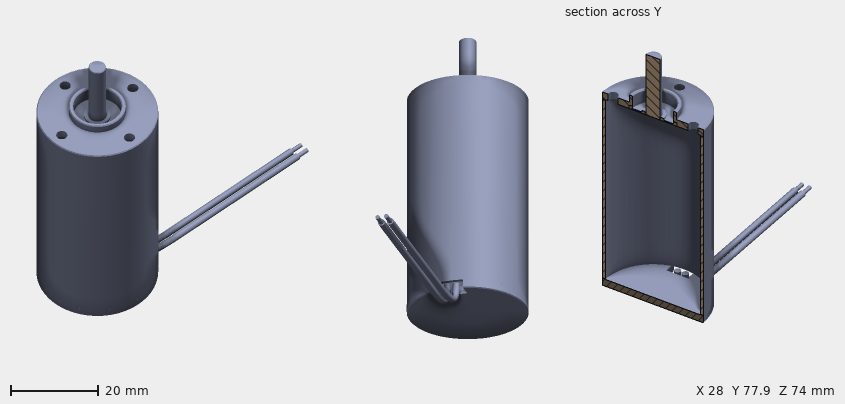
import cadquery as cq


overall_length_y = 77.9

casing_radius = 28.0 / 2
casing_length = 54.0
wall_thickness = 1.0
edge_chamfer = 0.2

cap_thickness = 2.0
slot_width = 6.55
slot_floor_y = 10.4

flange_thickness = 1.95
boss_radius = 6.55
boss_height = 2.0
boss_chamfer = 0.2
screw_hole_diameter = 2.6
screw_circle_radius = 11.0
screw_hole_count = 4

shaft_radius = 4.0 / 2
shaft_projection = 15.0
shaft_chamfer = 0.15

bearing_radius = 6.5
bearing_depth = 3.0
outer_race_bore_radius = 5.5
inner_race_radius = 3.0
race_groove_depth = 0.5
bearing_bore_chamfer = 0.2

wire_radius = 1.6 / 2
conductor_radius = 1.0 / 2
wire_spacing = 2.1
wire_exit_y = 11.85
wire_bend_end_y = 23.8
insulation_end_y = 60.9
lowest_wire_depth = 5.0
exit_handle = 5.15
bend_handle = 8.95

cap_top = cap_thickness
flange_top = casing_length
flange_bottom = flange_top - flange_thickness
boss_top = flange_top + boss_height
bearing_top = boss_top - bearing_depth
shaft_top = flange_top + shaft_projection
wire_axis_z = wire_radius - lowest_wire_depth
conductor_end_y = overall_length_y - casing_radius


def disc(radius, bottom, top):
    """Cylinder on the motor axis between two levels."""
    return cq.Workplane("XY").workplane(offset=bottom).circle(radius).extrude(top - bottom)


def make_can():
    """Open tube between the rear cap and the flange."""
    outside = disc(casing_radius, cap_top, flange_bottom)
    return outside.cut(disc(casing_radius - wall_thickness, cap_top, flange_bottom))


def make_flange():
    """Front plate whose boss opens onto a bearing seat, with a ring of through holes."""
    plate = disc(casing_radius, flange_bottom, flange_top).faces(">Z").chamfer(edge_chamfer)
    boss = disc(boss_radius, flange_top, boss_top)
    opening = disc(outer_race_bore_radius, flange_bottom, boss_top)
    bearing_seat = disc(bearing_radius, flange_bottom, bearing_top)
    screw_holes = (
        cq.Workplane("XY")
        .workplane(offset=flange_bottom)
        .polarArray(screw_circle_radius, 0, 360, screw_hole_count)
        .circle(screw_hole_diameter / 2)
        .extrude(flange_thickness)
    )
    flange = plate.union(boss).cut(opening).faces(">Z").chamfer(boss_chamfer)
    return flange.cut(bearing_seat).cut(screw_holes)


def make_rear_cap():
    """Rear plate with a rectangular wire slot in its +Y edge."""
    plate = disc(casing_radius, 0, cap_top).faces("<Z").chamfer(edge_chamfer)
    slot_length = casing_radius - slot_floor_y
    slot = (
        cq.Workplane("XY")
        .center(0, slot_floor_y + slot_length / 2)
        .rect(slot_width, slot_length)
        .extrude(cap_thickness)
    )
    return plate.cut(slot)


def make_shaft():
    return disc(shaft_radius, flange_bottom, shaft_top).faces(">Z").chamfer(shaft_chamfer)


def make_bearing():
    """Bearing with a shallow ring groove between its races and a chamfered bore mouth."""
    groove_floor = bearing_top - race_groove_depth
    body = disc(bearing_radius, flange_bottom, bearing_top)
    bore = disc(shaft_radius, flange_bottom, bearing_top)
    groove = disc(outer_race_bore_radius, groove_floor, bearing_top).cut(
        disc(inner_race_radius, groove_floor, bearing_top)
    )
    bored = body.cut(bore)
    bore_mouth = bored.faces(">Z").edges(cq.selectors.RadiusNthSelector(0))
    return bore_mouth.chamfer(bearing_bore_chamfer).cut(groove)


def make_wire(x):
    """Insulated wire that leaves the cap downward, bends toward +Y and ends in bare conductor."""
    bend_path = cq.Workplane("YZ", origin=(x, 0, 0)).bezier([
        (wire_exit_y, cap_top),
        (wire_exit_y, cap_top - exit_handle),
        (wire_bend_end_y - bend_handle, wire_axis_z),
        (wire_bend_end_y, wire_axis_z),
    ])
    bend_start = cq.Workplane("XY", origin=(x, wire_exit_y, cap_top)).circle(wire_radius)
    bend = bend_start.sweep(bend_path)
    insulation = straight_wire(x, wire_radius, wire_bend_end_y, insulation_end_y)
    conductor = straight_wire(x, conductor_radius, insulation_end_y, conductor_end_y)
    return bend.union(insulation).union(conductor)


def straight_wire(x, radius, start_y, end_y):
    """Straight round length along Y at the height of the wire axis."""
    start_plane = cq.Plane(origin=(x, start_y, wire_axis_z), xDir=(1, 0, 0), normal=(0, 1, 0))
    return cq.Workplane(start_plane).circle(radius).extrude(end_y - start_y)


can = make_can()
flange = make_flange()
rear_cap = make_rear_cap()
shaft = make_shaft()
bearing = make_bearing()
wires = [make_wire(side * wire_spacing / 2) for side in (-1, 1)]

result = cq.Compound.makeCompound([
    can.val(),
    flange.val(),
    rear_cap.val(),
    shaft.val(),
    bearing.val(),
    *[wire.val() for wire in wires],
])